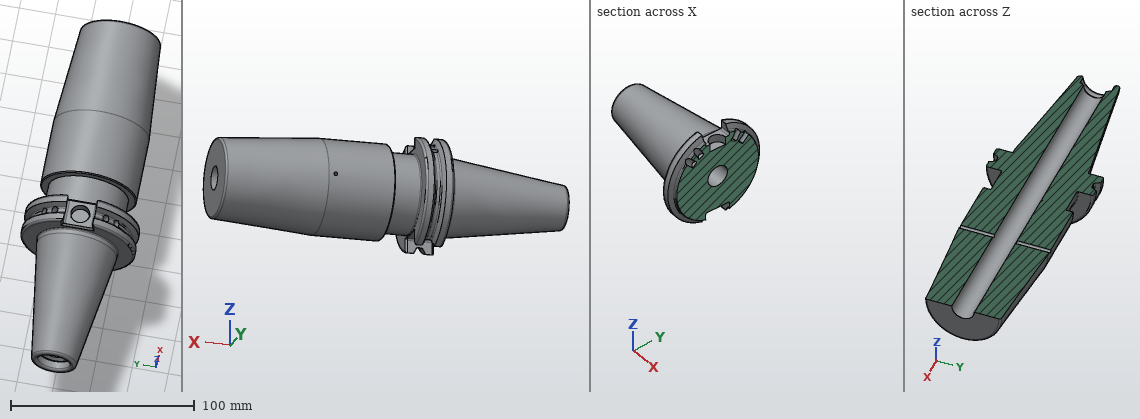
import cadquery as cq
import math

length = 198.2
gauge_x = 68.2
flange_x0 = 71.2
flange_x1 = 87.2
body_x0 = 103.0
nose_x = 141.0

neck_r = 22.2
flange_diameter = 63.2
flange_r = flange_diameter / 2
body_r = 26.5
nose_r = 22.2
taper_slope = 7 / 48
small_end_r = neck_r - gauge_x * taper_slope

small_end_fillet = 1.8
flange_fillet = 1.2
flange_root_fillet = 0.5
body_chamfer = 0.5
nose_fillet = 1.2

groove_x = 79.3
groove_width = 7.0
groove_depth = 3.4
groove_half_angle = 30.0
groove_root_fillet = 1.0

slot_width = 16.3
top_slot_floor = 25.0
bottom_slot_floor = 22.5
slot_corner_fillet = 1.0
slot_bevel = 1.0

chip_hole_r = 5.2
chip_hole_depth = 5.2

groove_hole_r = 1.88
groove_hole_depth = 6.0
groove_hole_angles = (30, 45)

bore_r = 6.5
cone_r = 8.3
cone_length = 1.4
counterbore_r = 9.1
counterbore_depth = 5.4
mouth_fillet = 1.4

cross_hole_x = 137.2
cross_hole_r = 1.0


def turned_blank():
    """Hollow taper shank, flange with V-groove, neck and body as one revolved solid."""
    cone_end = counterbore_depth + cone_length
    groove_root_r = flange_r - groove_depth
    groove_top = groove_width / 2
    groove_root = groove_top - groove_depth * math.tan(math.radians(groove_half_angle))
    profile = [
        (length, bore_r),
        (cone_end, bore_r),
        (counterbore_depth, cone_r),
        (counterbore_depth, counterbore_r),
        (0, counterbore_r),
        (0, small_end_r),
        (gauge_x, neck_r),
        (flange_x0, neck_r),
        (flange_x0, flange_r),
        (groove_x - groove_top, flange_r),
        (groove_x - groove_root, groove_root_r),
        (groove_x + groove_root, groove_root_r),
        (groove_x + groove_top, flange_r),
        (flange_x1, flange_r),
        (flange_x1, neck_r),
        (body_x0, neck_r),
        (body_x0, body_r),
        (nose_x, body_r),
        (length, nose_r),
    ]
    section = cq.Sketch().polygon(profile + profile[:1])
    fillets = [
        (0, counterbore_r, mouth_fillet),
        (0, small_end_r, small_end_fillet),
        (flange_x0, flange_r, flange_fillet),
        (flange_x1, flange_r, flange_fillet),
        (flange_x0, neck_r, flange_root_fillet),
        (flange_x1, neck_r, flange_root_fillet),
        (groove_x - groove_root, groove_root_r, groove_root_fillet),
        (groove_x + groove_root, groove_root_r, groove_root_fillet),
        (length, nose_r, nose_fillet),
    ]
    for x, radius, size in fillets:
        section = section.vertices(cq.selectors.NearestToPointSelector((x, radius, 0))).fillet(size).reset()
    section = section.vertices(cq.selectors.NearestToPointSelector((body_x0, body_r, 0))).chamfer(body_chamfer)
    return cq.Workplane("XZ").placeSketch(section.reset()).revolve(360, (0, 0, 0), (1, 0, 0))


def slot_cutter(floor, floor_bevel):
    """Upward slot across the flange, with rounded floor corners and bevelled ends.

    The walls are always bevelled at both ends, the floor only if floor_bevel is true.
    """
    height = flange_r
    flange_width = flange_x1 - flange_x0
    middle = floor + height / 2
    cutter = (
        cq.Workplane("YZ", origin=(flange_x0, 0, 0))
        .center(0, middle)
        .rect(slot_width, height)
        .extrude(flange_width)
        .edges("|X and <Z")
        .fillet(slot_corner_fillet)
    )
    above_floor = cq.Workplane("XY", origin=(groove_x, 0, floor)).rect(length, length).extrude(length)
    for x, depth in ((flange_x0, slot_bevel), (flange_x1, -slot_bevel)):
        bevel = (
            cq.Workplane("YZ", origin=(x, 0, 0))
            .center(0, middle)
            .rect(slot_width + 2 * slot_bevel, height + 2 * slot_bevel)
            .extrude(depth, taper=45)
        )
        if not floor_bevel:
            bevel = bevel.intersect(above_floor)
        cutter = cutter.union(bevel)
    return cutter


def chip_hole():
    bottom = top_slot_floor - chip_hole_depth
    return cq.Workplane("XY", origin=(groove_x, 0, bottom)).circle(chip_hole_r).extrude(flange_r)


def groove_hole(angle):
    """Radial blind hole in the groove, turned about X by the given angle from +Z."""
    bottom = flange_r - groove_depth - groove_hole_depth
    hole = cq.Workplane("XY", origin=(groove_x, 0, bottom)).circle(groove_hole_r).extrude(flange_r - bottom)
    return hole.rotate((0, 0, 0), (1, 0, 0), angle)


def cross_hole():
    return cq.Workplane("XZ", origin=(cross_hole_x, 0, 0)).circle(cross_hole_r).extrude(body_r, both=True)


result = turned_blank()
result = result.cut(slot_cutter(top_slot_floor, floor_bevel=True))
bottom_slot = slot_cutter(bottom_slot_floor, floor_bevel=False)
result = result.cut(bottom_slot.rotate((0, 0, 0), (1, 0, 0), 180))
result = result.cut(chip_hole())
for tilt in groove_hole_angles:
    for side in (-1, 1):
        result = result.cut(groove_hole(side * tilt))
result = result.cut(cross_hole())